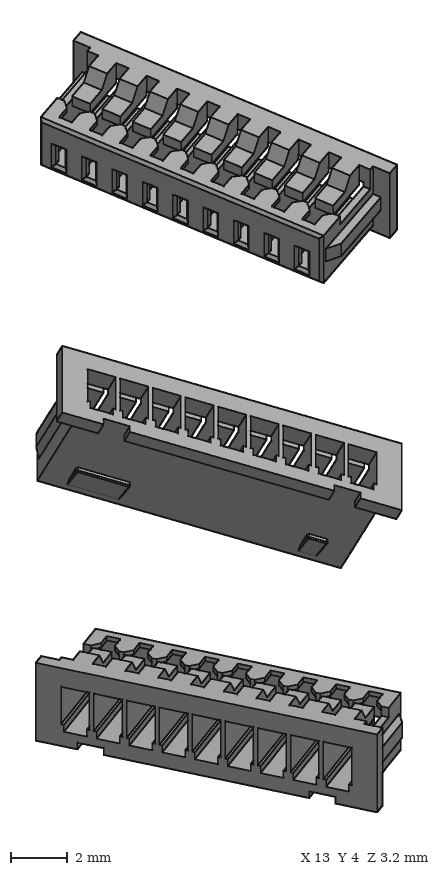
import cadquery as cq

LENGTH = 13.0
DEPTH = 4.0
HEIGHT = 3.2

FLANGE_THICKNESS = 0.51
FLANGE_FRONT = DEPTH - FLANGE_THICKNESS
BODY_WIDTH = 11.62
BODY_BOTTOM = 0.27
BODY_TOP = 2.61
EDGE_CHAMFER = 0.12

POSITIONS = 9
PITCH = 1.25

FINGER_WIDTH = 0.74
FINGER_FRONT = 1.51
FINGER_TOP = 2.69
FINGER_BOTTOM = 2.22
FINGER_SLOPE_START = 2.31
FINGER_SLOPE_END = 2.68
SLOT_FRONT = 1.25
SLOT_REAR = DEPTH - 0.7

CAVITY_FRONT = 0.3
CAVITY_FLOOR = 0.61
LEDGE_HEIGHT = 0.29
CAVITY_CEILING = 2.43
CAVITY_WIDTH = 1.08
CHANNEL_WIDTH = 0.87
NECK_WIDTH = 0.52
NECK_FRONT = 0.44
NECK_REAR = 0.98

WINDOW_WIDTH = 0.39
WINDOW_HEIGHT = 0.92
WINDOW_LEAD_IN = 0.12

RAIL_PROJECTION = 0.32
RAIL_BOTTOM = 1.21
RAIL_TOP = 1.83
RAIL_FRONT = 0.27
RAIL_RAMP_LENGTH = 0.51

WEDGE_REAR = 1.33
WEDGE_LENGTH = 0.96
WEDGE_HEIGHT = 0.2
WEDGE_EMBED = 0.13
WEDGE_CHAMFER = 0.05
WEDGE_SPANS = ((-4.81, -4.03), (2.74, 4.81))
NOTCH_INNER = 3.91
NOTCH_OUTER = 4.91


def block(x_min, x_max, y_min, y_max, z_min, z_max):
    """Box given by its limits along the three axes."""
    box = cq.Workplane("XY").box(x_max - x_min, y_max - y_min, z_max - z_min, centered=False)
    return box.translate((x_min, y_min, z_min))


def centred_block(x_centre, width, y_min, y_max, z_min, z_max):
    """Box centred on x_centre, given by its width and its Y and Z limits."""
    return block(x_centre - width / 2, x_centre + width / 2, y_min, y_max, z_min, z_max)


def side_profile(points, x_min, x_max):
    """Extrude an outline of (y, z) points from x_min to x_max."""
    outline = cq.Workplane("YZ").workplane(offset=x_min).polyline(points).close()
    return outline.extrude(x_max - x_min)


def flange():
    """Rear flange with a notch in its lower edge near each end."""
    plate = centred_block(0, LENGTH, FLANGE_FRONT, DEPTH, 0, HEIGHT)
    for x_min in (-NOTCH_OUTER, NOTCH_INNER):
        x_max = x_min + NOTCH_OUTER - NOTCH_INNER
        plate = plate.cut(block(x_min, x_max, FLANGE_FRONT, DEPTH, 0, BODY_BOTTOM))
    return plate


def body():
    """Main block: chamfered mating face, open top gap and raised rear bar."""
    main = centred_block(0, BODY_WIDTH, 0, FLANGE_FRONT, BODY_BOTTOM, BODY_TOP)
    main = main.faces("<Y").chamfer(EDGE_CHAMFER)
    top_gap = centred_block(0, BODY_WIDTH, SLOT_FRONT, SLOT_REAR, FINGER_BOTTOM, HEIGHT)
    rear_bar = centred_block(0, BODY_WIDTH, SLOT_REAR, DEPTH, BODY_TOP, HEIGHT)
    return main.cut(top_gap).union(rear_bar)


def side_rail():
    """Rail on the +X side, tapering into the body near the mating face."""
    inner = BODY_WIDTH / 2
    outer = inner + RAIL_PROJECTION
    points = [
        (inner, RAIL_FRONT),
        (outer, RAIL_FRONT + RAIL_RAMP_LENGTH),
        (outer, FLANGE_FRONT),
        (inner, FLANGE_FRONT),
    ]
    outline = cq.Workplane("XY").workplane(offset=RAIL_BOTTOM).polyline(points).close()
    return outline.extrude(RAIL_TOP - RAIL_BOTTOM)


def latch_wedge(x_min, x_max):
    """Wedge under the body that deepens toward the rear, with chamfered exposed edges."""
    wedge_front = WEDGE_REAR - WEDGE_LENGTH
    embedded_top = BODY_BOTTOM + WEDGE_EMBED
    points = [
        (WEDGE_REAR, embedded_top),
        (WEDGE_REAR, BODY_BOTTOM - WEDGE_HEIGHT),
        (wedge_front, BODY_BOTTOM),
        (wedge_front, embedded_top),
    ]
    wedge = side_profile(points, x_min, x_max)
    return wedge.faces(">Y or <Z").edges("not (>Z or <Y)").chamfer(WEDGE_CHAMFER)


def top_opening(x_centre):
    """Opening in the body top that tapers at 45 degrees to a narrow neck toward the front."""
    half_width = CAVITY_WIDTH / 2
    half_neck = NECK_WIDTH / 2
    taper_end = NECK_REAR + half_width - half_neck
    points = [
        (x_centre - half_neck, NECK_FRONT),
        (x_centre + half_neck, NECK_FRONT),
        (x_centre + half_neck, NECK_REAR),
        (x_centre + half_width, taper_end),
        (x_centre + half_width, SLOT_REAR),
        (x_centre - half_width, SLOT_REAR),
        (x_centre - half_width, taper_end),
        (x_centre - half_neck, NECK_REAR),
    ]
    outline = cq.Workplane("XY").workplane(offset=CAVITY_CEILING).polyline(points).close()
    return outline.extrude(BODY_TOP - CAVITY_CEILING)


def contact_cavity(x_centre):
    """Stepped cavity open at the rear: narrow floor channel, wide chamber and top opening."""
    ledge = CAVITY_FLOOR + LEDGE_HEIGHT
    channel = centred_block(x_centre, CHANNEL_WIDTH, CAVITY_FRONT, DEPTH, CAVITY_FLOOR, ledge)
    chamber = centred_block(x_centre, CAVITY_WIDTH, CAVITY_FRONT, DEPTH, ledge, CAVITY_CEILING)
    return channel.union(chamber).union(top_opening(x_centre))


def contact_window(x_centre):
    """Rectangular window with a tapered lead-in at the mating face."""
    z_max = CAVITY_FLOOR + WINDOW_HEIGHT
    bore = centred_block(x_centre, WINDOW_WIDTH, 0, CAVITY_FRONT, CAVITY_FLOOR, z_max)
    lead_in = (
        cq.Workplane("XZ")
        .center(x_centre, (CAVITY_FLOOR + z_max) / 2)
        .rect(WINDOW_WIDTH + 2 * WINDOW_LEAD_IN, WINDOW_HEIGHT + 2 * WINDOW_LEAD_IN)
        .workplane(offset=-WINDOW_LEAD_IN)
        .rect(WINDOW_WIDTH, WINDOW_HEIGHT)
        .loft()
    )
    return bore.union(lead_in)


def locking_finger(x_centre):
    """Cantilever finger reaching forward from the rear bar over one cavity."""
    points = [
        (FINGER_FRONT, FINGER_BOTTOM),
        (FINGER_FRONT, FINGER_TOP),
        (FINGER_SLOPE_START, FINGER_TOP),
        (FINGER_SLOPE_END, HEIGHT),
        (SLOT_REAR, HEIGHT),
        (SLOT_REAR, FINGER_BOTTOM),
    ]
    return side_profile(points, x_centre - FINGER_WIDTH / 2, x_centre + FINGER_WIDTH / 2)


contact_centres = [(i - (POSITIONS - 1) / 2) * PITCH for i in range(POSITIONS)]

right_rail = side_rail()
result = flange().union(body()).union(right_rail).union(right_rail.mirror("YZ"))
for wedge_span in WEDGE_SPANS:
    result = result.union(latch_wedge(*wedge_span))
for centre in contact_centres:
    result = result.cut(contact_cavity(centre)).cut(contact_window(centre))
for centre in contact_centres:
    result = result.union(locking_finger(centre))